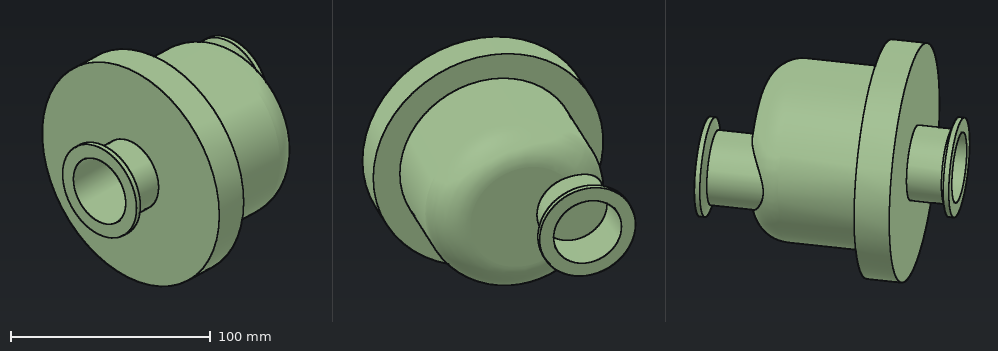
import cadquery as cq
import math

FLANGE_DIAMETER = 121.0
FLANGE_THICKNESS = 18.0

BODY_DIAMETER = 93.0
BODY_LENGTH = 60.0
DOME_EDGE_RADIUS = 18.0

PIPE_DIAMETER = 38.1
BORE_DIAMETER = 35.7
FERRULE_DIAMETER = 50.5
FERRULE_LIP_THICKNESS = 2.85
FERRULE_BACK_ANGLE = 20.0

INLET_LENGTH = 23.0
OUTLET_LENGTH = 24.0
OUTLET_OFFSET_X = -25.6

DOME_TOP_Y = FLANGE_THICKNESS + BODY_LENGTH
INLET_END_Y = -INLET_LENGTH
OUTLET_END_Y = DOME_TOP_Y + OUTLET_LENGTH

INLET_BORE_DEPTH = INLET_LENGTH + FLANGE_THICKNESS
OUTLET_BORE_DEPTH = OUTLET_LENGTH


def cylinder(diameter, length, start_y):
    """Cylinder about the Y axis, running from start_y toward +Y."""
    return cq.Workplane("XZ", origin=(0, start_y, 0)).circle(diameter / 2).extrude(-length)


def housing():
    """Flange carrying a cylindrical body with a rounded far end."""
    flange = cylinder(FLANGE_DIAMETER, FLANGE_THICKNESS, 0)
    body = cylinder(BODY_DIAMETER, BODY_LENGTH, FLANGE_THICKNESS)
    body = body.faces(">Y").edges().fillet(DOME_EDGE_RADIUS)
    return flange.union(body)


def ferrule_pipe(length):
    """Solid pipe stub from its clamp face at Y = 0 to Y = length."""
    pipe_radius = PIPE_DIAMETER / 2
    ferrule_radius = FERRULE_DIAMETER / 2
    cone_length = (ferrule_radius - pipe_radius) * math.tan(math.radians(FERRULE_BACK_ANGLE))
    profile = (
        cq.Workplane("XY")
        .moveTo(0, 0)
        .lineTo(ferrule_radius, 0)
        .lineTo(ferrule_radius, FERRULE_LIP_THICKNESS)
        .lineTo(pipe_radius, FERRULE_LIP_THICKNESS + cone_length)
        .lineTo(pipe_radius, length)
        .lineTo(0, length)
        .close()
    )
    return profile.revolve(360, (0, 0, 0), (0, 1, 0))


def place_at_inlet(shape):
    """Move a shape starting at Y = 0 so that it starts at the inlet clamp face."""
    return shape.translate((0, INLET_END_Y, 0))


def place_at_outlet(shape):
    """Turn a shape starting at Y = 0 to face -Y and start it at the outlet clamp face."""
    turned = shape.rotate((0, 0, 0), (0, 0, 1), 180)
    return turned.translate((OUTLET_OFFSET_X, OUTLET_END_Y, 0))


inlet_pipe = place_at_inlet(ferrule_pipe(INLET_LENGTH))
outlet_pipe = place_at_outlet(ferrule_pipe(OUTLET_LENGTH + DOME_EDGE_RADIUS))
inlet_bore = place_at_inlet(cylinder(BORE_DIAMETER, INLET_BORE_DEPTH, 0))
outlet_bore = place_at_outlet(cylinder(BORE_DIAMETER, OUTLET_BORE_DEPTH, 0))

result = housing().union(inlet_pipe).union(outlet_pipe).cut(inlet_bore).cut(outlet_bore)